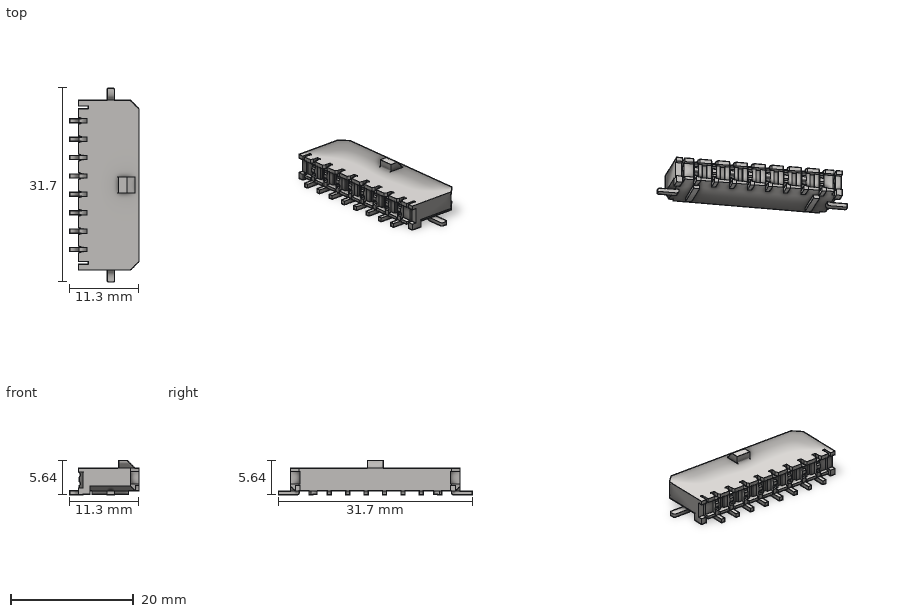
import cadquery as cq


housing_length = 9.9
housing_width = 27.7
housing_bottom = 0.66
housing_top = 4.38
corner_chamfer = 1.4
side_bevel = 0.77
half_width = housing_width / 2

foot_length = 1.9
foot_width = 0.98
foot_bottom = 0.08

recess_depth = 0.75
recess_bottom = 1.14
recess_top = 3.72
groove_width = 0.75
groove_depth = 0.4

slit_width = 0.4
slit_depth = 1.57
slit_pocket_bottom = 2.77
slit_pocket_top = 3.5
slit_pocket_depth = 0.4

contact_count = 8
contact_pitch = 3.0
contact_width = 0.7
contact_top = 3.7
contact_rear = 0.1
contact_front = 1.4
tail_reach = 1.45
tail_height = 0.68
tail_front = 0.77
notch_depth = 0.18
upper_notch_levels = (2.85, 3.12, 3.42, 3.65)
lower_notch_levels = (1.5, 1.68, 1.98, 2.28)

mouth_flare = 0.2
mouth_depth = 0.55

latch_width = 2.6
latch_rear = 6.58
latch_crest_end = 7.95
latch_top = 5.64
latch_root_radius = 0.2

nail_tip_y = 15.825
nail_inner_y = 12.4
nail_rear = 4.67
nail_width = 1.25
nail_thickness = 0.6
nail_leg_top = 1.6
nail_bend_diameter = 0.8
nail_tip_radius = 0.3

rib_rear = 2.2
rib_length = 6.0
rib_inner_y = 9.5
rib_width = 1.0

corner_recess_depth = 1.6
corner_window_bottom = 1.81
corner_window_top = 3.81
corner_notch_rear = 9.3
corner_notch_top = 1.5

contact_positions = [(i - (contact_count - 1) / 2) * contact_pitch for i in range(contact_count)]
bay_centres = [y + contact_pitch / 2 for y in contact_positions[:-1]]


def block(x_range, y_range, z_range):
    """Box between two limits on each axis."""
    size = [high - low for low, high in (x_range, y_range, z_range)]
    corner = (x_range[0], y_range[0], z_range[0])
    return cq.Workplane("XY").box(*size, centered=False).translate(corner)


def side_profile(points, width, y_centre):
    """Closed XZ outline extruded symmetrically about y_centre."""
    outline = cq.Workplane("XZ").polyline(points).close()
    return outline.extrude(width / 2, both=True).translate((0, y_centre, 0))


def both_ends(solid):
    """The solid together with its mirror image across Y = 0."""
    return solid.union(solid.mirror("XZ"))


def make_shell():
    height = housing_top - housing_bottom
    shell = cq.Workplane("XY").box(housing_length, housing_width, height)
    shell = shell.edges("|Z and >X").chamfer(corner_chamfer)
    shell = shell.translate((housing_length / 2, 0, housing_bottom + height / 2))
    bevel = (
        cq.Workplane("YZ")
        .polyline([
            (half_width, housing_bottom),
            (half_width, housing_bottom + side_bevel),
            (half_width - side_bevel, housing_bottom),
        ])
        .close()
        .extrude(housing_length)
    )
    shell = shell.cut(both_ends(bevel))
    foot = block(
        (0, foot_length),
        (half_width - foot_width, half_width),
        (foot_bottom, housing_bottom + side_bevel),
    )
    return shell.union(both_ends(foot))


def make_rear_recess():
    recess = block((0, recess_depth), (-half_width, half_width), (recess_bottom, recess_top))
    for y in bay_centres:
        groove = block(
            (0, recess_depth + groove_depth),
            (y - groove_width / 2, y + groove_width / 2),
            (recess_bottom, recess_top),
        )
        recess = recess.union(groove)
    return recess


def make_slits():
    slit_outer_y = half_width - foot_width
    slit_sides = (slit_outer_y - slit_width, slit_outer_y)
    slit = block((0, slit_depth), slit_sides, (foot_bottom, housing_top))
    pocket = block(
        (0, slit_depth + slit_pocket_depth),
        slit_sides,
        (slit_pocket_bottom, slit_pocket_top),
    )
    return both_ends(slit.union(pocket))


def make_contact_opening(y, depth, bottom, top):
    """Straight slot with a flared mouth at the rear face."""
    half_slot = contact_width / 2
    half_mouth = half_slot + mouth_flare
    return (
        cq.Workplane("XY")
        .polyline([
            (0, -half_mouth),
            (mouth_depth, -half_slot),
            (depth, -half_slot),
            (depth, half_slot),
            (mouth_depth, half_slot),
            (0, half_mouth),
        ])
        .close()
        .extrude(top - bottom)
        .translate((0, y, bottom))
    )


def make_corner_recesses():
    y_range = (half_width - corner_recess_depth, half_width)
    window = block(
        (housing_length - corner_chamfer, housing_length),
        y_range,
        (corner_window_bottom, corner_window_top),
    )
    notch = block((corner_notch_rear, housing_length), y_range, (housing_bottom, corner_notch_top))
    return both_ends(window.union(notch))


def barb_notch(levels):
    """Trapezoidal notch outline, listed upwards along the upright's rear face."""
    start, floor_start, floor_end, end = levels
    floor_x = contact_rear + notch_depth
    return [(contact_rear, start), (floor_x, floor_start), (floor_x, floor_end), (contact_rear, end)]


def make_contact(y):
    points = [
        (-tail_reach, 0),
        (-tail_reach, tail_height),
        (contact_rear, tail_height),
        *barb_notch(lower_notch_levels),
        *barb_notch(upper_notch_levels),
        (contact_rear, contact_top),
        (contact_front, contact_top),
        (contact_front, tail_height),
        (tail_front, tail_height),
        (tail_front, 0),
    ]
    return side_profile(points, contact_width, y)


def make_latch():
    ramp_end = latch_crest_end + latch_top - housing_top
    ramp = side_profile(
        [
            (latch_rear, housing_top),
            (latch_rear, latch_top),
            (latch_crest_end, latch_top),
            (ramp_end, housing_top),
        ],
        latch_width,
        0,
    )
    root_start = latch_rear - latch_root_radius
    root = (
        cq.Workplane("XZ")
        .moveTo(root_start, housing_top)
        .radiusArc((latch_rear, housing_top + latch_root_radius), -latch_root_radius)
        .lineTo(latch_rear, housing_top)
        .close()
        .extrude(latch_width / 2, both=True)
    )
    return ramp.union(root)


def make_nail():
    nail_sides = (nail_rear, nail_rear + nail_width)
    tail = block(nail_sides, (nail_inner_y, nail_tip_y), (0, nail_thickness))
    tail = tail.edges("|Z and >Y").fillet(nail_tip_radius)
    leg = block(nail_sides, (nail_inner_y, nail_inner_y + nail_thickness), (0, nail_leg_top))
    nail = tail.union(leg)
    return nail.edges("|X and <Y and <Z").fillet(nail_bend_diameter / 2)


def make_rib():
    return block(
        (rib_rear, rib_rear + rib_length),
        (rib_inner_y, rib_inner_y + rib_width),
        (foot_bottom, housing_bottom),
    )


housing = make_shell().cut(make_rear_recess()).cut(make_slits()).cut(make_corner_recesses())
for contact_y in contact_positions:
    housing = housing.cut(make_contact_opening(contact_y, contact_front, contact_top, housing_top))
    housing = housing.cut(make_contact_opening(contact_y, tail_front, housing_bottom, recess_bottom))

result = housing.union(make_latch()).union(both_ends(make_nail())).union(both_ends(make_rib()))
for contact_y in contact_positions:
    result = result.union(make_contact(contact_y))